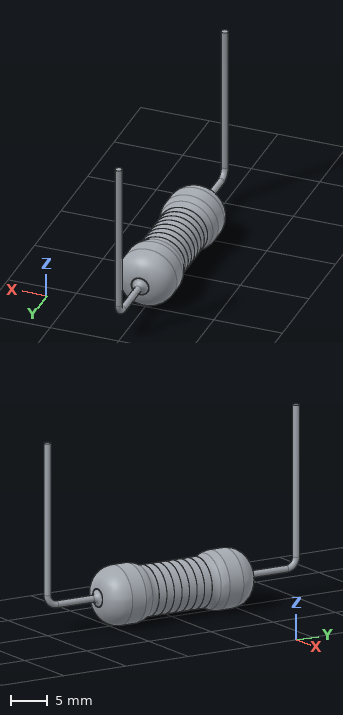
import cadquery as cq
import math

total_length = 41.0
total_height = 27.0
cap_diameter = 8.4
waist_diameter = 7.15
band_diameter = 7.18
wire_diameter = 1.0
bend_radius = 1.5

body_half_length = 11.95
dome_radius = 3.0
cap_inner_y = 6.72
waist_half_length = 4.25
flare_radius = 0.8
band_width = 1.25
band_count = 4

waist_core_half_length = waist_half_length - band_width
cap_radius = cap_diameter / 2
waist_radius = waist_diameter / 2
wire_radius = wire_diameter / 2
dome_start_y = body_half_length - dome_radius
end_face_radius = cap_radius - dome_radius
flare_end_y = body_half_length + flare_radius
flare_base_radius = wire_radius + flare_radius
wire_half_span = total_length / 2 - wire_radius
wire_top_z = total_height - cap_radius
diagonal = math.sqrt(0.5)

blend_mid_y = (waist_half_length + cap_inner_y) / 2
blend_mid_radius = (waist_radius + cap_radius) / 2
arc_length = cap_inner_y - blend_mid_y
arc_rise = cap_radius - blend_mid_radius
blend_radius = (arc_length**2 + arc_rise**2) / (2 * arc_rise)
arc_half_angle = math.atan2(arc_length, blend_radius - arc_rise) / 2
arc_mid_run = blend_radius * math.sin(arc_half_angle)
arc_mid_rise = blend_radius * (1 - math.cos(arc_half_angle))


def revolve_about_y(profile):
    """Revolve a closed (radius, y) profile around the body axis."""
    return profile.close().revolve(360, (0, 0, 0), (0, 1, 0))


def body_end():
    """Waist end, cap, rounded end and wire flare on the +Y half."""
    profile = (
        cq.Workplane("XY")
        .moveTo(0, waist_core_half_length)
        .lineTo(waist_radius, waist_core_half_length)
        .lineTo(waist_radius, waist_half_length)
        .threePointArc(
            (waist_radius + arc_mid_rise, waist_half_length + arc_mid_run),
            (blend_mid_radius, blend_mid_y),
        )
        .threePointArc(
            (cap_radius - arc_mid_rise, cap_inner_y - arc_mid_run),
            (cap_radius, cap_inner_y),
        )
        .lineTo(cap_radius, dome_start_y)
        .threePointArc(
            (end_face_radius + dome_radius * diagonal, dome_start_y + dome_radius * diagonal),
            (end_face_radius, body_half_length),
        )
        .lineTo(flare_base_radius, body_half_length)
        .threePointArc(
            (
                flare_base_radius - flare_radius * diagonal,
                flare_end_y - flare_radius * diagonal,
            ),
            (wire_radius, flare_end_y),
        )
        .lineTo(0, flare_end_y)
    )
    return revolve_about_y(profile)


def disc_along_y(start_y, length, diameter):
    """Cylinder on the body axis, extending toward +Y from start_y."""
    return cq.Workplane("XZ", origin=(0, start_y, 0)).circle(diameter / 2).extrude(-length)


def lead_wire():
    """Wire leaving the +Y end of the body and bending upward."""
    bend_start_y = wire_half_span - bend_radius
    path = (
        cq.Workplane("YZ")
        .moveTo(flare_end_y, 0)
        .lineTo(bend_start_y, 0)
        .threePointArc(
            (bend_start_y + bend_radius * diagonal, bend_radius * (1 - diagonal)),
            (wire_half_span, bend_radius),
        )
        .lineTo(wire_half_span, wire_top_z)
    )
    section = cq.Workplane("XZ", origin=(0, flare_end_y, 0)).circle(wire_radius)
    return section.sweep(path)


half_part = body_end().union(lead_wire())
waist_core = disc_along_y(-waist_core_half_length, 2 * waist_core_half_length, waist_diameter)
result = waist_core.union(half_part).union(half_part.mirror("XZ"))

band_pitch = (2 * waist_half_length - band_width) / (band_count - 1)
for index in range(band_count):
    band_start_y = -waist_half_length + index * band_pitch
    result = result.union(disc_along_y(band_start_y, band_width, band_diameter))